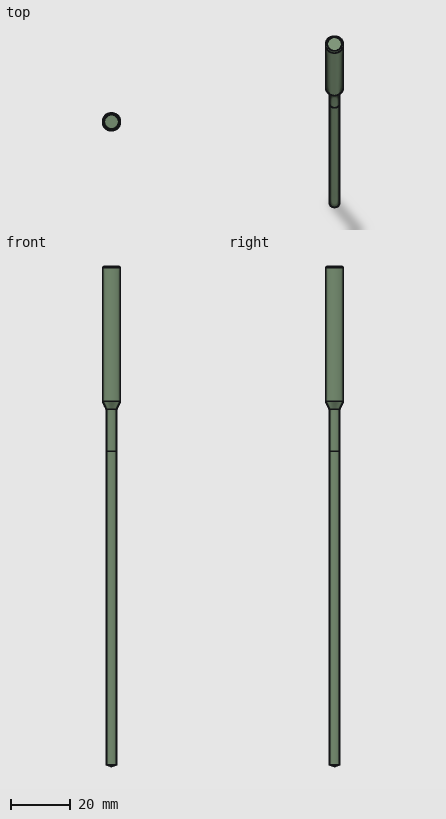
import cadquery as cq
import math


overall_length = 167.64
shank_diameter = 6.0
drill_diameter = 3.5
point_angle = 140.0

neck_start = 48.0
holder_length = 61.95

taper_half_angle = 25.0
top_chamfer = 0.6

shank_radius = shank_diameter / 2
drill_radius = drill_diameter / 2
point_height = drill_radius / math.tan(math.radians(point_angle / 2))
taper_height = (shank_radius - drill_radius) / math.tan(math.radians(taper_half_angle))

taper_bottom_z = overall_length - neck_start
shank_bottom_z = taper_bottom_z + taper_height
joint_z = overall_length - holder_length


def revolve_profile(points):
    """Revolve a closed (radius, height) profile around the Z axis."""
    return cq.Workplane("XZ").polyline(points).close().revolve(360, (0, 0, 0), (0, 1, 0))


def make_holder():
    """Chamfered shank that tapers down to the neck."""
    return revolve_profile([
        (0, joint_z),
        (drill_radius, joint_z),
        (drill_radius, taper_bottom_z),
        (shank_radius, shank_bottom_z),
        (shank_radius, overall_length - top_chamfer),
        (shank_radius - top_chamfer, overall_length),
        (0, overall_length),
    ])


def make_cutting_part():
    """Plain cylinder ending in the conical drill point."""
    return revolve_profile([
        (0, 0),
        (drill_radius, point_height),
        (drill_radius, joint_z),
        (0, joint_z),
    ])


holder = make_holder()
cutting_part = make_cutting_part()

result = cq.Compound.makeCompound([holder.val(), cutting_part.val()])